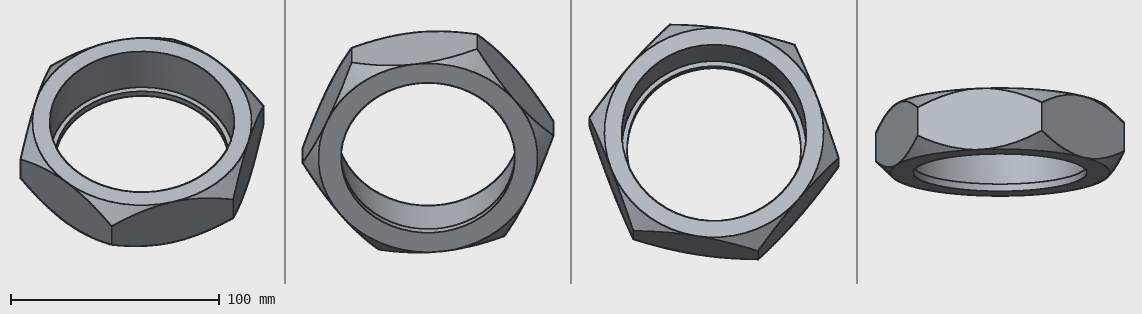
import cadquery as cq
import math

across_flats = 105.0
height = 30.0
bore_diameter = 88.4
lip_diameter = 83.3
lip_height = 3.5
chamfer_angle = 45.0
corner_clearance = 1.0

across_corners = across_flats / math.cos(math.radians(30))
face_radius = across_flats / 2


def hexagon_body():
    """Hexagonal prism with two corners on the Y axis and flats facing +X and -X."""
    return (
        cq.Workplane("XY")
        .transformed(rotate=(0, 0, 90))
        .polygon(6, across_corners)
        .extrude(height)
    )


def bevelling_blank():
    """Round blank with conical ends; its overlap with the hexagon has bevelled corners."""
    blank_radius = across_corners / 2 + corner_clearance
    bevel_height = (blank_radius - face_radius) * math.tan(math.radians(chamfer_angle))
    half_profile = (
        cq.Workplane("XZ")
        .lineTo(face_radius, 0)
        .lineTo(blank_radius, bevel_height)
        .lineTo(blank_radius, height - bevel_height)
        .lineTo(face_radius, height)
        .lineTo(0, height)
        .close()
    )
    return half_profile.revolve(360, (0, 0, 0), (0, 1, 0))


def stepped_bore():
    """Main bore open at the top, narrowed by a short lip at the bottom face."""
    through_hole = cq.Workplane("XY").circle(lip_diameter / 2).extrude(height)
    main_bore = (
        cq.Workplane("XY")
        .workplane(offset=lip_height)
        .circle(bore_diameter / 2)
        .extrude(height - lip_height)
    )
    return through_hole.union(main_bore)


result = hexagon_body().intersect(bevelling_blank()).cut(stepped_bore())